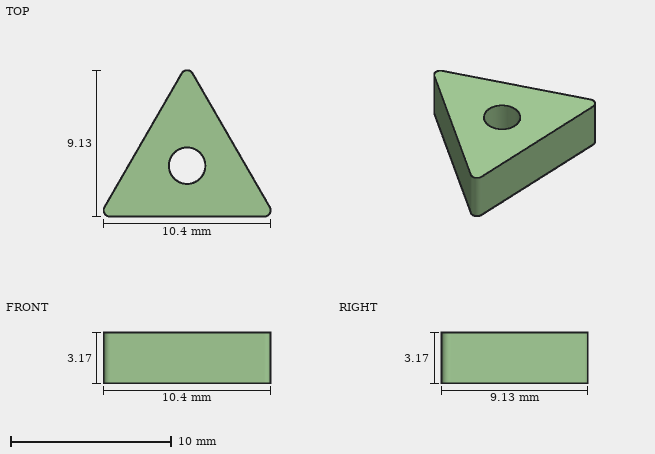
import cadquery as cq
import math

inscribed_circle_diameter = 6.35
nose_radius = 0.397
thickness = 3.175
hole_diameter = 2.26

corner_radius = inscribed_circle_diameter
corner_angles = [math.radians(angle) for angle in (90, 210, 330)]


def make_body():
    """Equilateral prism centred on its inscribed circle, one corner along +Y."""
    corners = [
        (corner_radius * math.cos(angle), corner_radius * math.sin(angle))
        for angle in corner_angles
    ]
    prism = cq.Workplane("XY").polyline(corners).close().extrude(thickness)
    return prism.edges("|Z").fillet(nose_radius)


def cut_clamping_hole(body):
    """Plain through hole on the axis of the inscribed circle."""
    hole = cq.Workplane("XY").circle(hole_diameter / 2).extrude(thickness)
    return body.cut(hole)


result = cut_clamping_hole(make_body())